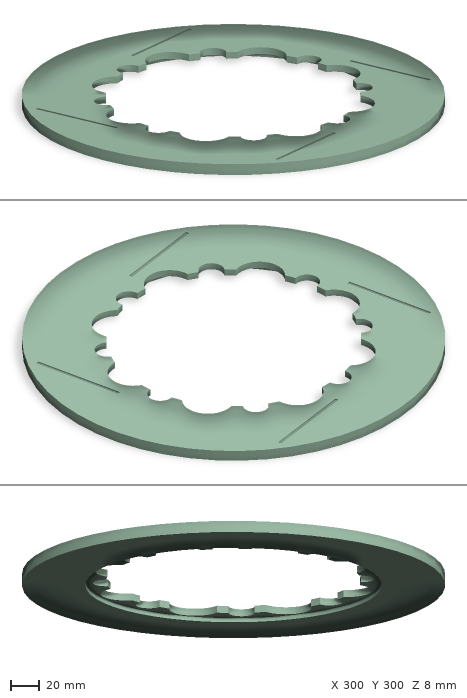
import cadquery as cq

outer_diameter = 300.0
thickness = 8.0
bore_radius = 90.3

small_scallop_radius = 9.3
small_scallop_pitch_radius = 90.5
large_scallop_radius = 18.3
large_scallop_pitch_radius = 84.3
scallop_count = 8
scallop_spacing = 360 / scallop_count

recess_radius = 105.0
recess_depth = 3.0

groove_count = 4
groove_length = 70.5
groove_width = 2.7
groove_depth = 1.0
groove_offset = 106.5
groove_shift = 60.0


def scallop_ring(pitch_radius, radius, start_angle):
    """Evenly spaced round cutters on a pitch circle."""
    return (
        cq.Workplane("XY")
        .polarArray(pitch_radius, start_angle, 360, scallop_count)
        .circle(radius)
        .extrude(thickness, combine=False)
    )


def groove(angle):
    """One groove cutter, turned about the disc axis."""
    return (
        cq.Workplane("XY")
        .box(groove_length, groove_width, groove_depth, centered=(True, True, False))
        .translate((groove_shift, groove_offset, thickness - groove_depth))
        .rotate((0, 0, 0), (0, 0, 1), angle)
    )


disc = cq.Workplane("XY").circle(outer_diameter / 2).circle(bore_radius).extrude(thickness)

recess = cq.Workplane("XY").circle(recess_radius).extrude(recess_depth)
disc = disc.cut(recess)

disc = disc.cut(scallop_ring(small_scallop_pitch_radius, small_scallop_radius, 0))
disc = disc.cut(scallop_ring(large_scallop_pitch_radius, large_scallop_radius, scallop_spacing / 2))

for index in range(groove_count):
    disc = disc.cut(groove(index * 360 / groove_count))

result = disc